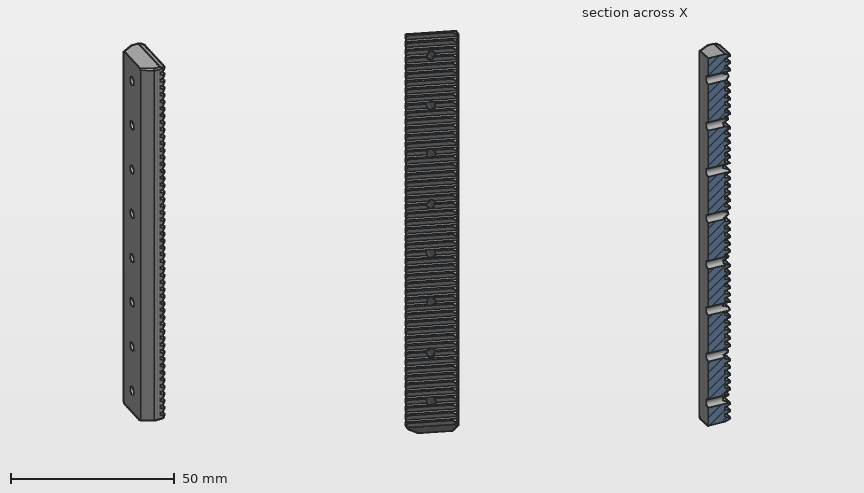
import cadquery as cq
import math

width = 16.0
depth = 7.65
length = 127.5

side_slope_angle = 60.0
side_slope_depth = 3.65
side_slope_inset = side_slope_depth / math.tan(math.radians(side_slope_angle))
tip_chamfer = 1.0
end_chamfer = 0.5

module = 0.8
pitch = math.pi * module
tooth_count = 51
pressure_angle = 20.0
addendum = module
dedendum = 1.25 * module
backlash = 0.16
tooth_height = addendum + dedendum
flank_slope = math.tan(math.radians(pressure_angle))

gap_half_root = pitch / 4 + backlash / 2 - dedendum * flank_slope
gap_half_tip = pitch / 4 + backlash / 2 + addendum * flank_slope

hole_diameter = 2.7
hole_count = 8
hole_spacing = 16.0


def make_blank():
    """Toothless bar with slanted sides, bevelled back corners and bevelled ends."""
    half_width = width / 2
    half_front = half_width - side_slope_inset
    half_back = half_width - tip_chamfer
    bar = (
        cq.Workplane("XY")
        .workplane(offset=-length / 2)
        .moveTo(-half_front, 0)
        .lineTo(half_front, 0)
        .lineTo(half_width, side_slope_depth)
        .lineTo(half_width, depth - tip_chamfer)
        .lineTo(half_back, depth)
        .lineTo(-half_back, depth)
        .lineTo(-half_width, depth - tip_chamfer)
        .lineTo(-half_width, side_slope_depth)
        .close()
        .extrude(length)
    )
    side_middle_y = (side_slope_depth + depth - tip_chamfer) / 2
    slope_middle_x = half_width - side_slope_inset / 2
    for end_z in (-length / 2, length / 2):
        for side in (-1, 1):
            side_point = (side * half_width, side_middle_y, end_z)
            side_edge = cq.selectors.NearestToPointSelector(side_point)
            slope_point = (side * slope_middle_x, side_slope_depth / 2, end_z)
            slope_edge = cq.selectors.NearestToPointSelector(slope_point)
            bar = bar.edges(side_edge + slope_edge).chamfer(end_chamfer)
    return bar


def make_tooth_gaps():
    """Trapezoidal cutters between the teeth and just outside the two end teeth."""
    root_y = depth - tooth_height
    gap_centers = [(i - tooth_count / 2) * pitch for i in range(tooth_count + 1)]
    gap = (
        cq.Workplane("YZ")
        .moveTo(root_y, -gap_half_root)
        .lineTo(depth, -gap_half_tip)
        .lineTo(depth, gap_half_tip)
        .lineTo(root_y, gap_half_root)
        .close()
        .extrude(width / 2, both=True)
        .val()
    )
    gaps = [gap.translate(cq.Vector(0, 0, center)) for center in gap_centers]
    return cq.Workplane("YZ").newObject([cq.Compound.makeCompound(gaps)])


def make_holes():
    """Row of plain holes along Y, centred on the length."""
    return (
        cq.Workplane("XZ")
        .rarray(width, hole_spacing, 1, hole_count)
        .circle(hole_diameter / 2)
        .extrude(-depth)
    )


rack = make_blank().cut(make_holes()).cut(make_tooth_gaps())
result = cq.Workplane("XY").newObject([rack.solids().val()])